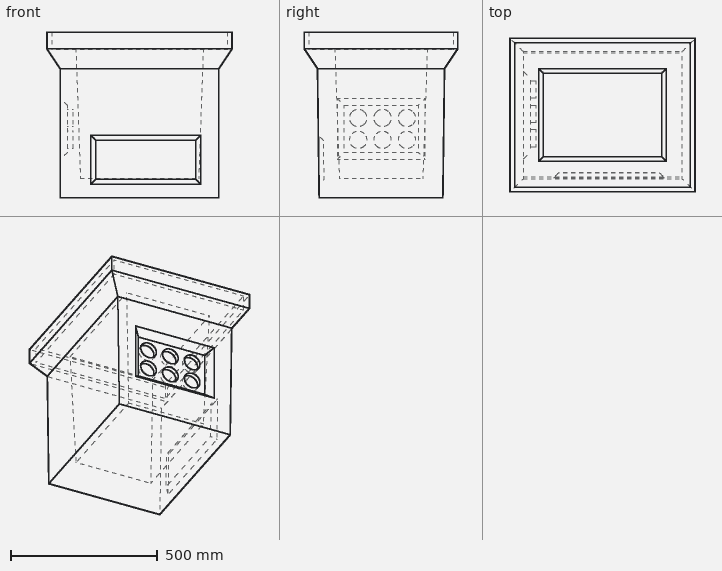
import cadquery as cq
import math

RIM_LENGTH = 631.94
RIM_WIDTH = 523.84
TOTAL_HEIGHT = 565.42

RIM_HEIGHT = 57.3
FLARE_HEIGHT = 67.5
BODY_HEIGHT = TOTAL_HEIGHT - RIM_HEIGHT - FLARE_HEIGHT

FLARE_OVERHANG = 45.0
BODY_LENGTH = RIM_LENGTH - 2 * FLARE_OVERHANG
BODY_TOP_WIDTH = RIM_WIDTH - 2 * FLARE_OVERHANG
WALL_LEAN = 5.7
BODY_BASE_WIDTH = BODY_TOP_WIDTH - 2 * WALL_LEAN
LEAN_ANGLE = math.atan2(WALL_LEAN, BODY_HEIGHT)

RIM_WALL = 16.0
TRAY_DEPTH = 58.0
CAVITY_LENGTH = 434.0
CAVITY_WIDTH = 315.0
CAVITY_DEPTH = 440.0
CAVITY_INSET = 15.3

FRONT_BEVEL_ANGLE = 45.0
FRONT_PANEL_LENGTH = 375.0
FRONT_PANEL_HEIGHT = 167.0
FRONT_PANEL_X = 21.5
FRONT_PANEL_Z = 130.0
FRONT_PANEL_DEPTH = 16.7

SIDE_PANEL_WIDTH = 299.0
SIDE_PANEL_HEIGHT = 207.0
SIDE_PANEL_Z = 236.0
SIDE_PANEL_DEPTH = 25.0
SIDE_BEVEL_ANGLE = 43.0

HOLE_DIAMETER = 59.0
HOLE_DEPTH = 18.0
HOLE_COLUMNS = 3
HOLE_ROWS = 2
HOLE_PITCH_Y = 83.0
HOLE_PITCH_Z = 74.5
HOLES_CENTRE_Y = 4.4
HOLES_CENTRE_Z = 236.0


def frustum(base_z, base_size, top_z, top_size):
    """Solid between two centred horizontal rectangles."""
    return (
        cq.Workplane("XY", origin=(0, 0, base_z))
        .rect(*base_size)
        .workplane(offset=top_z - base_z)
        .rect(*top_size)
        .loft(ruled=True, combine=True)
    )


def make_outer_body():
    base_size = (BODY_LENGTH, BODY_BASE_WIDTH)
    neck_size = (BODY_LENGTH, BODY_TOP_WIDTH)
    rim_size = (RIM_LENGTH, RIM_WIDTH)
    rim_z = TOTAL_HEIGHT - RIM_HEIGHT
    body = frustum(0, base_size, BODY_HEIGHT, neck_size)
    flare = frustum(BODY_HEIGHT, neck_size, rim_z, rim_size)
    rim = frustum(rim_z, rim_size, TOTAL_HEIGHT, rim_size)
    return body.union(flare).union(rim)


def make_basin():
    """Tray and deep cavity, open at the top."""
    tray_size = (RIM_LENGTH - 2 * RIM_WALL, RIM_WIDTH - 2 * RIM_WALL)
    tray_z = TOTAL_HEIGHT - TRAY_DEPTH
    mouth_size = (CAVITY_LENGTH, CAVITY_WIDTH)
    floor_size = (CAVITY_LENGTH - 2 * CAVITY_INSET, CAVITY_WIDTH - 2 * CAVITY_INSET)
    tray = frustum(tray_z, tray_size, TOTAL_HEIGHT, tray_size)
    cavity = frustum(tray_z - CAVITY_DEPTH, floor_size, tray_z, mouth_size)
    return tray.union(cavity)


def make_front_recess():
    """Bevelled recess cut square to the leaning front wall."""
    face_y = -BODY_BASE_WIDTH / 2 - FRONT_PANEL_Z * math.tan(LEAN_ANGLE)
    inward = (0, math.cos(LEAN_ANGLE), math.sin(LEAN_ANGLE))
    face = cq.Plane(origin=(FRONT_PANEL_X, face_y, FRONT_PANEL_Z), xDir=(1, 0, 0), normal=inward)
    return (
        cq.Workplane(face)
        .rect(FRONT_PANEL_LENGTH, FRONT_PANEL_HEIGHT)
        .extrude(FRONT_PANEL_DEPTH, taper=FRONT_BEVEL_ANGLE)
    )


def make_side_recess():
    face = cq.Workplane("YZ", origin=(-BODY_LENGTH / 2, 0, SIDE_PANEL_Z))
    return face.rect(SIDE_PANEL_WIDTH, SIDE_PANEL_HEIGHT).extrude(SIDE_PANEL_DEPTH, taper=SIDE_BEVEL_ANGLE)


def make_side_holes():
    floor_x = -BODY_LENGTH / 2 + SIDE_PANEL_DEPTH
    return (
        cq.Workplane("YZ", origin=(floor_x, HOLES_CENTRE_Y, HOLES_CENTRE_Z))
        .rarray(HOLE_PITCH_Y, HOLE_PITCH_Z, HOLE_COLUMNS, HOLE_ROWS)
        .circle(HOLE_DIAMETER / 2)
        .extrude(HOLE_DEPTH)
    )


result = (
    make_outer_body()
    .cut(make_basin())
    .cut(make_front_recess())
    .cut(make_side_recess())
    .cut(make_side_holes())
)